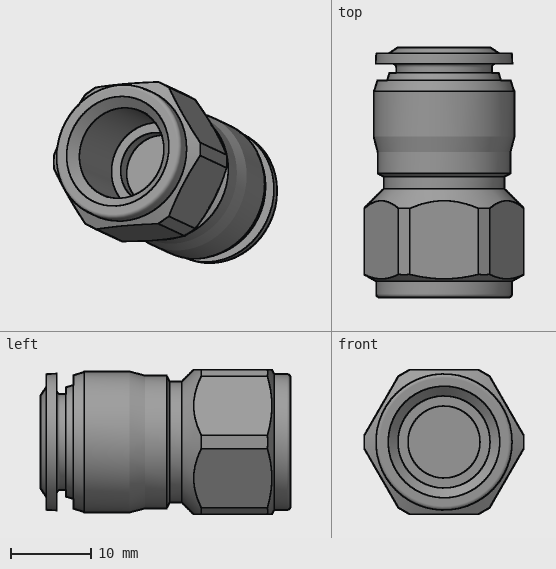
import cadquery as cq
import math

LENGTH = 31.1

ACROSS_FLATS = 18.0
ACROSS_CORNERS = 19.85
COLLAR_RADIUS = 8.45
COLLAR_LENGTH = 2.02
COLLAR_FILLET = 0.47
NECK_RADIUS = 7.53
NUT_END = 13.53
FRONT_CONE_ANGLE = 30.0
BACK_CONE_ANGLE = 45.0
CONE_OUTER_RADIUS = 10.9

BODY_START = 15.02
BODY_END = 27.0
BODY_CHAMFER_END = 15.43
BODY_SMALL_RADIUS = 8.27
TAPER_START = 18.1
TAPER_END = 20.0
BODY_RADIUS = 8.77
BODY_BLEND_START = 25.63
BODY_BLEND_END = 25.78
BODY_BLEND_RADIUS = 8.68
BODY_TOP_RADIUS = 8.3
GUIDE_BASE_RADIUS = 7.1
GUIDE_TOP_RADIUS = 6.8
GUIDE_END = 27.93

SLEEVE_RADIUS = 5.97
FLANGE_START = 29.05
FLANGE_END = 30.4
FLANGE_RADIUS = 8.52
FLANGE_TOP_RADIUS = 8.45
FLANGE_FILLET = 0.2
SLEEVE_FILLET = 0.45
DOME_BASE_RADIUS = 6.85
DOME_TOP_RADIUS = 5.75

BORE_MOUTH_RADIUS = 6.95
BORE_RADIUS = 5.72
BORE_DEPTH = 11.2
MOUTH_DEPTH = 1.2
INNER_BORE_RADIUS = 4.48
INNER_BORE_DEPTH = 13.05


def revolve_about_y(points):
    """Turn a closed (radius, Y) profile around the Y axis."""
    return cq.Workplane("XY").polyline(points).close().revolve(360, (0, 0, 0), (0, 1, 0))


def hex_prism(across_flats, turn):
    """Hexagonal bar along Y, running from Y = 0 to the end of the nut."""
    across_points = across_flats / math.cos(math.pi / 6)
    bar = cq.Workplane("XZ").polygon(6, across_points).extrude(-NUT_END)
    return bar.rotate((0, 0, 0), (0, 1, 0), turn)


def make_nut():
    front_rise = (CONE_OUTER_RADIUS - COLLAR_RADIUS) * math.tan(math.radians(FRONT_CONE_ANGLE))
    back_rise = (CONE_OUTER_RADIUS - NECK_RADIUS) * math.tan(math.radians(BACK_CONE_ANGLE))
    turned_blank = revolve_about_y([
        (0, COLLAR_LENGTH),
        (COLLAR_RADIUS, COLLAR_LENGTH),
        (CONE_OUTER_RADIUS, COLLAR_LENGTH + front_rise),
        (CONE_OUTER_RADIUS, NUT_END - back_rise),
        (NECK_RADIUS, NUT_END),
        (0, NUT_END),
    ])
    main_flats = hex_prism(ACROSS_FLATS, 0)
    corner_flats = hex_prism(ACROSS_CORNERS, 30)
    hexagon = main_flats.intersect(corner_flats).intersect(turned_blank)
    collar = cq.Workplane("XZ").circle(COLLAR_RADIUS).extrude(-COLLAR_LENGTH)
    collar = collar.faces("<Y").edges().fillet(COLLAR_FILLET)
    return hexagon.union(collar)


def make_body():
    return revolve_about_y([
        (0, NUT_END),
        (NECK_RADIUS, NUT_END),
        (NECK_RADIUS, BODY_START),
        (BODY_SMALL_RADIUS, BODY_CHAMFER_END),
        (BODY_SMALL_RADIUS, TAPER_START),
        (BODY_RADIUS, TAPER_END),
        (BODY_RADIUS, BODY_BLEND_START),
        (BODY_BLEND_RADIUS, BODY_BLEND_END),
        (BODY_TOP_RADIUS, BODY_END),
        (GUIDE_BASE_RADIUS, BODY_END),
        (GUIDE_TOP_RADIUS, GUIDE_END),
        (0, GUIDE_END),
    ])


def make_sleeve():
    arc_inset = 1 - math.sqrt(0.5)
    profile = (
        cq.Workplane("XY")
        .moveTo(0, GUIDE_END)
        .lineTo(SLEEVE_RADIUS, GUIDE_END)
        .lineTo(SLEEVE_RADIUS, FLANGE_START - SLEEVE_FILLET)
        .threePointArc(
            (SLEEVE_RADIUS + SLEEVE_FILLET * arc_inset, FLANGE_START - SLEEVE_FILLET * arc_inset),
            (SLEEVE_RADIUS + SLEEVE_FILLET, FLANGE_START),
        )
        .lineTo(FLANGE_RADIUS, FLANGE_START)
        .lineTo(FLANGE_TOP_RADIUS, FLANGE_END - FLANGE_FILLET)
        .threePointArc(
            (FLANGE_TOP_RADIUS - FLANGE_FILLET * arc_inset, FLANGE_END - FLANGE_FILLET * arc_inset),
            (FLANGE_TOP_RADIUS - FLANGE_FILLET, FLANGE_END),
        )
        .lineTo(DOME_BASE_RADIUS, FLANGE_END)
        .lineTo(DOME_TOP_RADIUS, LENGTH)
        .lineTo(0, LENGTH)
        .close()
    )
    return profile.revolve(360, (0, 0, 0), (0, 1, 0))


def make_bore():
    return revolve_about_y([
        (0, 0),
        (BORE_MOUTH_RADIUS, 0),
        (BORE_RADIUS, MOUTH_DEPTH),
        (BORE_RADIUS, BORE_DEPTH),
        (INNER_BORE_RADIUS, BORE_DEPTH),
        (INNER_BORE_RADIUS, INNER_BORE_DEPTH),
        (0, INNER_BORE_DEPTH),
    ])


result = make_nut().union(make_body()).union(make_sleeve()).cut(make_bore())